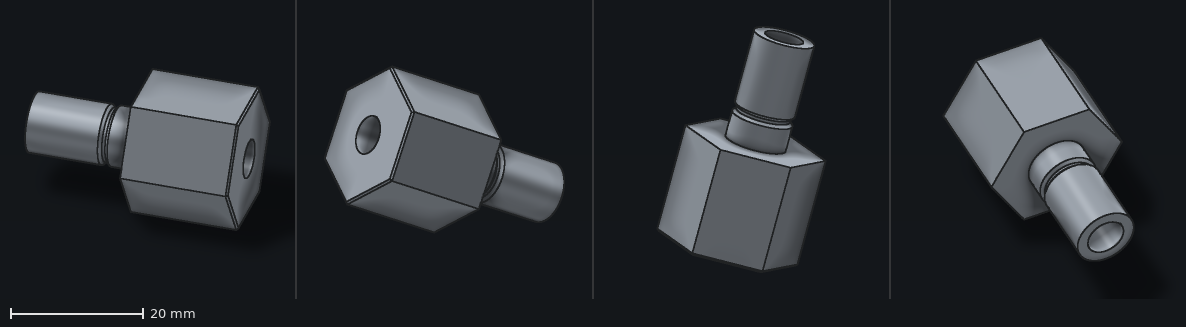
import cadquery as cq
import math

total_length = 34.0
hex_length = 17.0
hex_across_flats = 19.0
hex_chamfer = 0.3

spigot_diameter = 9.45
bore_diameter = 6.0

groove_center = 12.25
groove_floor_width = 0.5
groove_depth = 0.5

hex_across_corners = hex_across_flats / math.cos(math.pi / 6)
spigot_length = total_length - hex_length
spigot_radius = spigot_diameter / 2


def make_spigot():
    """Revolve the grooved spigot, starting at X = 0."""
    floor_radius = spigot_radius - groove_depth
    floor_start = groove_center - groove_floor_width / 2
    floor_end = groove_center + groove_floor_width / 2
    groove_start = floor_start - groove_depth
    groove_end = floor_end + groove_depth
    return (
        cq.Workplane("XY")
        .lineTo(0, spigot_radius)
        .lineTo(groove_start, spigot_radius)
        .lineTo(floor_start, floor_radius)
        .lineTo(floor_end, floor_radius)
        .lineTo(groove_end, spigot_radius)
        .lineTo(spigot_length, spigot_radius)
        .lineTo(spigot_length, 0)
        .close()
        .revolve(360, (0, 0, 0), (1, 0, 0))
    )


def make_hex():
    """Hexagonal body with flats at top and bottom, chamfered around its free end."""
    return (
        cq.Workplane("YZ")
        .workplane(offset=spigot_length)
        .polygon(6, hex_across_corners)
        .extrude(hex_length)
        .faces(">X")
        .chamfer(hex_chamfer)
    )


def make_bore():
    """Cylinder for the through bore."""
    return cq.Workplane("YZ").circle(bore_diameter / 2).extrude(total_length)


result = make_spigot().union(make_hex()).cut(make_bore())